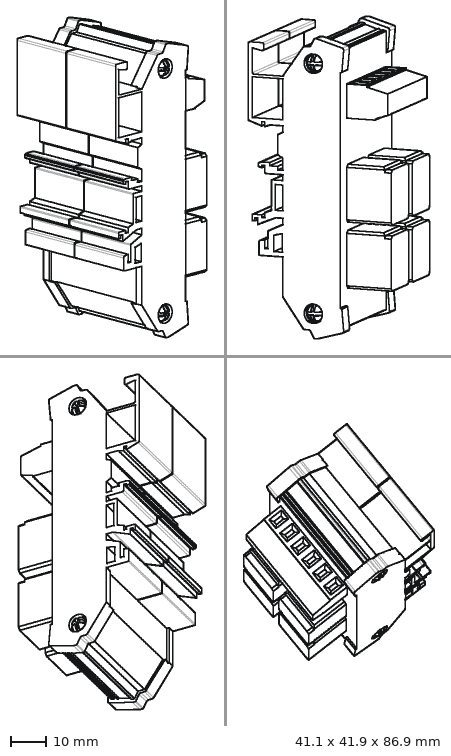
import cadquery as cq
import math

OVERALL_WIDTH = 41.1
OVERALL_DEPTH = 41.9
OVERALL_HEIGHT = 86.9
TOP_Z = OVERALL_HEIGHT / 2
CLIP_WALL_Y = -OVERALL_DEPTH / 2
RELAY_FRONT_Y = OVERALL_DEPTH / 2

CAP_OUTER_X = 19.9
CAP_THICKNESS = 4.5
CAP_INNER_X = CAP_OUTER_X - CAP_THICKNESS
CAP_BACK_Y = -10.3
FRONT_Y = 7.3
CAP_FRONT_FILLET = 0.7
CAP_PEAK_FILLET = 0.3
CAP_SHOULDER_FILLET = 0.7
CAP_POCKET_WIDTH = 2.2
CAP_POCKET_HALF_HEIGHT = 32.1

TRAY_BACK_Y = -9.55
TRAY_TOP_Z = 42.4

SCREW_Y = -0.95
SCREW_Z = 36.2
SCREW_HEAD_RADIUS = 2.4
SCREW_HOLE_RADIUS = 2.8
SCREW_SLOT_WIDTH = 1.0
SCREW_SLOT_DEPTH = 1.9

CLIP_GAP = 0.35
CLIP_FILLET = 0.5
CLIP_SMALL_FILLET = 0.3
CLIP_BASE_TOP_Z = 32.0
CLIP_BASE_BOTTOM_Z = -20.4

TERMINAL_WIDTH = 30.3
TERMINAL_CENTRE_X = -0.3
TERMINAL_COUNT = 6
TERMINAL_ROW_LENGTH = 24.9
TERMINAL_TOP_Z = 30.1
FUNNEL_CENTRE_Y = 10.2
FUNNEL_MOUTH = (3.2, 4.5)
FUNNEL_FLOOR = (1.1, 2.6)
FUNNEL_DEPTH = 1.3

RELAY_WIDTH = 13.55
RELAY_HEIGHT = 16.8
RELAY_CHAMFER = 0.8
RELAY_PITCH_X = 16.1
RELAY_PITCH_Z = 19.1
RELAY_CENTRE_X = -0.1
RELAY_CENTRE_Z = -11.3
RELAY_STEP_DROP = 0.8
RELAY_STEP_Y = 18.3
RELAY_STEP_SLOPE = 0.6


def prism(points, x_start, x_end):
    """Extrude a closed (y, z) outline from x_start to x_end."""
    plane = cq.Workplane("YZ", origin=(x_start, 0, 0))
    return plane.polyline(points).close().extrude(x_end - x_start)


def box(x_range, y_range, z_range):
    """Box between two values on each axis."""
    (x0, x1), (y0, y1), (z0, z1) = x_range, y_range, z_range
    return cq.Workplane("XY").box(x1 - x0, y1 - y0, z1 - z0, centered=False).translate((x0, y0, z0))


def round_corners(solid, corners, radius):
    """Fillet the edges along X that pass through the given (y, z) corners."""
    near = 0.04
    reach = OVERALL_WIDTH
    for y, z in corners:
        corner_box = cq.selectors.BoxSelector((-reach, y - near, z - near), (reach, y + near, z + near))
        solid = solid.edges("|X").edges(corner_box).fillet(radius)
    return solid


def mirrored_outline(upper_half):
    """Complete an outline with its mirror image below Z = 0."""
    return upper_half + [(y, -z) for y, z in reversed(upper_half)]


def make_tray():
    upper_half = [
        (FRONT_Y, 40.3),
        (7.0, 40.5),
        (6.3, 40.65),
        (6.2, 40.2),
        (5.7, 40.3),
        (5.1, 41.0),
        (4.7, 40.7),
        (0.95, 41.9),
        (0.8, 42.2),
        (0.1, TRAY_TOP_Z),
        (-0.35, TRAY_TOP_Z),
        (-1.5, 40.2),
        (-3.6, 40.2),
        (TRAY_BACK_Y, CLIP_BASE_TOP_Z),
    ]
    return prism(mirrored_outline(upper_half), -CAP_INNER_X, CAP_INNER_X)


def make_cap():
    """End cap on the -X side, with the pocket that takes the tray's back edge."""
    front_peak = (8.4, 41.2)
    top_peak = (-0.7, TOP_Z)
    notch = (-2.0, 41.0)
    shoulder = (-3.9, 41.0)
    upper_half = [
        (FRONT_Y, 34.05),
        (7.8, 34.3),
        front_peak,
        (0.35, TOP_Z),
        top_peak,
        notch,
        shoulder,
        (CAP_BACK_Y, CLIP_BASE_TOP_Z),
    ]
    cap = prism(mirrored_outline(upper_half), -CAP_OUTER_X, -CAP_INNER_X)
    for corners, radius in (
        ([front_peak], CAP_FRONT_FILLET),
        ([top_peak], CAP_PEAK_FILLET),
        ([notch, shoulder], CAP_SHOULDER_FILLET),
    ):
        cap = round_corners(cap, mirrored_outline(corners), radius)
    pocket = box(
        (-CAP_INNER_X - CAP_POCKET_WIDTH, -CAP_INNER_X),
        (CAP_BACK_Y, TRAY_BACK_Y),
        (-CAP_POCKET_HALF_HEIGHT, CAP_POCKET_HALF_HEIGHT),
    )
    return cap.cut(pocket)


def add_screws(cap):
    """Sink two cross-slotted dome screws in the outer face of the -X cap."""
    tip_x = -OVERALL_WIDTH / 2
    tip_radius = SCREW_SLOT_WIDTH / math.sqrt(2)
    seat_x = tip_x + math.sqrt(SCREW_HEAD_RADIUS**2 - tip_radius**2)
    slot_length = 2 * SCREW_HEAD_RADIUS
    slot_x = seat_x - SCREW_HEAD_RADIUS + SCREW_SLOT_DEPTH / 2
    for z in (-SCREW_Z, SCREW_Z):
        hole = (
            cq.Workplane("YZ", origin=(seat_x, SCREW_Y, z))
            .circle(SCREW_HOLE_RADIUS)
            .extrude(-(CAP_OUTER_X + seat_x))
        )
        head = cq.Workplane("XY").sphere(SCREW_HEAD_RADIUS).translate((seat_x, SCREW_Y, z))
        for size_y, size_z in ((slot_length, SCREW_SLOT_WIDTH), (SCREW_SLOT_WIDTH, slot_length)):
            slot = cq.Workplane("XY").box(SCREW_SLOT_DEPTH, size_y, size_z)
            head = head.cut(slot.translate((slot_x, SCREW_Y, z)))
        cap = cap.cut(hole).union(head)
    return cap


def make_clip(x_start, x_end):
    """One length of rail clip: a base plate with a deep hook, a solid rib, two arms and a foot."""
    inner_wall_y = -19.6
    hook_top_z = 41.3
    hook_lip_y = -16.2
    outer_top = (CLIP_WALL_Y, hook_top_z)
    outer_bottom = (CLIP_WALL_Y, 18.5)
    lip_top = (hook_lip_y, hook_top_z)
    lip_bottom = (hook_lip_y, 38.8)
    hook_root = (inner_wall_y, CLIP_BASE_TOP_Z)
    long_arm_root = (-12.4, -9.2)
    foot_shoulder = (-14.85, -13.1)
    foot_tip = (-17.6, -16.1)
    support_corner = (-13.8, 1.7)
    stepped_arm_corner = (-15.9, 3.4)
    long_arm_tip = (-19.7, -8.6)
    foot_corner = (-17.6, CLIP_BASE_BOTTOM_Z)
    outline = [
        (TRAY_BACK_Y, CLIP_BASE_TOP_Z),
        hook_root,
        (inner_wall_y, 39.5),
        lip_bottom,
        lip_top,
        outer_top,
        outer_bottom,
        (-16.8, 17.1),
        (-16.8, 18.3),
        (-15.9, 18.3),
        (-15.9, 16.9),
        (-14.2, 17.55),
        (CAP_BACK_Y, 17.55),
        (CAP_BACK_Y, 15.7),
        (-11.9, 14.9),
        (-11.9, 9.1),
        (CAP_BACK_Y, 8.25),
        (CAP_BACK_Y, 4.7),
        (-11.9, 4.7),
        (-11.9, 5.7),
        (-14.3, 5.7),
        (-14.3, 6.7),
        (-16.7, 6.7),
        (-17.55, 6.5),
        (-17.9, 6.2),
        (-17.9, 5.5),
        (-17.55, 5.2),
        (-16.8, 5.0),
        (-16.8, 5.7),
        (-15.9, 5.7),
        stepped_arm_corner,
        (CAP_BACK_Y, 3.4),
        (CAP_BACK_Y, 1.7),
        support_corner,
        (-13.8, -7.2),
        (-15.9, -7.9),
        (-15.9, -9.4),
        (-16.8, -9.4),
        (-16.8, -8.6),
        long_arm_tip,
        (-19.7, -10.5),
        (-18.85, -10.5),
        (-18.85, -9.6),
        (-18.1, -9.6),
        (-18.1, -11.55),
        long_arm_root,
        (CAP_BACK_Y, -9.2),
        (CAP_BACK_Y, -11.1),
        foot_shoulder,
        (-14.85, -18.3),
        (-15.9, -18.3),
        (-15.9, -15.8),
        foot_tip,
        foot_corner,
        (TRAY_BACK_Y, CLIP_BASE_BOTTOM_Z),
    ]
    clip = prism(outline, x_start, x_end)
    large_rounds = [outer_top, lip_top, lip_bottom, outer_bottom, hook_root]
    large_rounds += [stepped_arm_corner, long_arm_root, foot_tip]
    small_rounds = [support_corner, long_arm_tip, foot_shoulder, foot_corner]
    clip = round_corners(clip, large_rounds, CLIP_FILLET)
    clip = round_corners(clip, small_rounds, CLIP_SMALL_FILLET)

    hook_window = [(CAP_BACK_Y, 31.2), (inner_wall_y, 31.2), (inner_wall_y, 19.4), (CAP_BACK_Y, 19.4)]
    support_window = [(CAP_BACK_Y, 0.4), (-12.7, 0.4), (-12.7, -7.0), (CAP_BACK_Y, -7.0)]
    foot_window = [(-10.5, -13.6), (-13.0, -14.3), (-13.0, -19.0), (-10.5, -19.0)]
    for window in (hook_window, support_window, foot_window):
        clip = clip.cut(prism(window, x_start, x_end))
    return clip


def make_terminal_block():
    front_y = 19.9
    step_y = 13.5
    outline = [
        (FRONT_Y, TERMINAL_TOP_Z),
        (step_y, TERMINAL_TOP_Z),
        (step_y, 29.5),
        (front_y, 28.0),
        (front_y, 21.7),
        (16.1, 20.4),
        (16.1, 20.15),
        (FRONT_Y, 20.15),
    ]
    start_x = TERMINAL_CENTRE_X - TERMINAL_WIDTH / 2
    block = prism(outline, start_x, start_x + TERMINAL_WIDTH)
    pitch = TERMINAL_ROW_LENGTH / (TERMINAL_COUNT - 1)
    first_x = TERMINAL_CENTRE_X - TERMINAL_ROW_LENGTH / 2
    for index in range(TERMINAL_COUNT):
        funnel = (
            cq.Workplane("XY", origin=(first_x + index * pitch, FUNNEL_CENTRE_Y, TERMINAL_TOP_Z))
            .rect(*FUNNEL_MOUTH)
            .workplane(offset=-FUNNEL_DEPTH)
            .rect(*FUNNEL_FLOOR)
            .loft()
        )
        block = block.cut(funnel)
    return block


def relay_bar(height, y_end):
    """Chamfered bar along Y from the board to y_end, standing on Z = 0."""
    length = y_end - FRONT_Y
    bar = cq.Workplane("XY").box(RELAY_WIDTH, length, height, centered=(True, False, False))
    return bar.edges("|Y").chamfer(RELAY_CHAMFER).translate((0, FRONT_Y, 0))


def make_relay(centre_x, centre_z):
    """Relay with the top edge of its front end stepped down along a short slope."""
    low_height = RELAY_HEIGHT - RELAY_STEP_DROP
    step_front_y = RELAY_STEP_Y + RELAY_STEP_SLOPE
    slope = prism(
        [
            (RELAY_STEP_Y, RELAY_HEIGHT),
            (step_front_y, low_height),
            (step_front_y, RELAY_HEIGHT),
        ],
        -RELAY_WIDTH / 2,
        RELAY_WIDTH / 2,
    )
    rear = relay_bar(RELAY_HEIGHT, step_front_y).cut(slope)
    relay = rear.union(relay_bar(low_height, RELAY_FRONT_Y))
    return relay.translate((centre_x, 0, centre_z - RELAY_HEIGHT / 2))


cap = add_screws(make_cap())
result = make_tray().union(cap).union(cap.mirror("YZ"))
result = result.union(make_clip(-CAP_OUTER_X, -CLIP_GAP / 2))
result = result.union(make_clip(CLIP_GAP / 2, CAP_OUTER_X))
result = result.union(make_terminal_block())
for side in (-1, 1):
    for level in (-1, 1):
        relay_x = RELAY_CENTRE_X + side * RELAY_PITCH_X / 2
        relay_z = RELAY_CENTRE_Z + level * RELAY_PITCH_Z / 2
        result = result.union(make_relay(relay_x, relay_z))